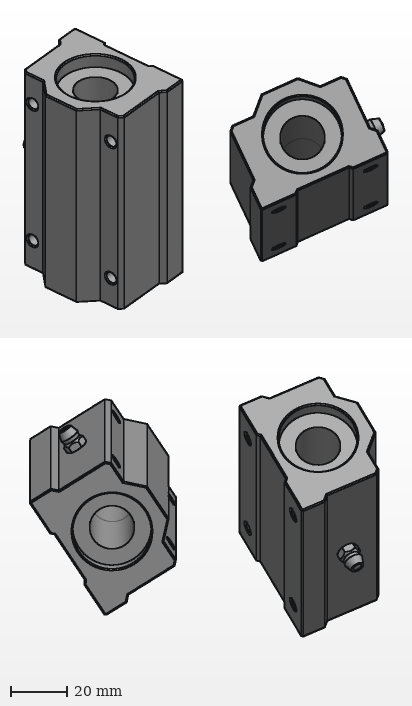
import cadquery as cq
import math

LENGTH = 85.0
HALF_LENGTH = LENGTH / 2
EDGE_CHAMFER = 0.5

FLANGE_HALF_WIDTH = 25.0
BODY_HALF_WIDTH = 22.95
NOSE_HALF_WIDTH = 7.1
RELIEF_HALF_WIDTH = 10.0
BACK_Y = 19.0
HOUSING_DEPTH = 38.5
NOSE_Y = BACK_Y - HOUSING_DEPTH
FLANGE_Y = 9.9
NOSE_RISE = 6.0
RELIEF_DEPTH = 1.1
BODY_CORNER = 1.6
BACK_CORNER = 0.5

BEARING_DIAMETER = 28.0
BEARING_BORE = 16.0
BEARING_RECESS = 5.5
BEARING_LENGTH = LENGTH - 2 * BEARING_RECESS

HOLE_DIAMETER = 4.4
HOLE_CHAMFER = 0.5
HOLE_SPACING_X = 36.0
HOLE_SPACING_Z = 60.0

HEX_SIDES = 6
HEX_ACROSS_FLATS = 7.1
HEX_HEIGHT = 3.5
HEX_TOP_CHAMFER = 1.2
HEX_BASE_CHAMFER = 0.3
COLLAR_PEAK = 5.1
HEAD_FACE = 8.2
NIPPLE_REACH = 8.6
NECK_RADIUS = 3.1
COLLAR_RADIUS = 3.5
HEAD_RADIUS = 2.5
DOME_RADIUS = 1.6


def housing_outline():
    """Closed cross-section: the +X half from nose to back, then its mirror image."""
    step_y = NOSE_Y + NOSE_RISE
    right = [
        (NOSE_HALF_WIDTH, NOSE_Y),
        (NOSE_HALF_WIDTH + NOSE_RISE, step_y),
        (BODY_HALF_WIDTH - BODY_CORNER, step_y),
        (BODY_HALF_WIDTH, step_y + BODY_CORNER),
        (BODY_HALF_WIDTH, FLANGE_Y - (FLANGE_HALF_WIDTH - BODY_HALF_WIDTH)),
        (FLANGE_HALF_WIDTH, FLANGE_Y),
        (FLANGE_HALF_WIDTH, BACK_Y - BACK_CORNER),
        (FLANGE_HALF_WIDTH - BACK_CORNER, BACK_Y),
        (RELIEF_HALF_WIDTH + RELIEF_DEPTH, BACK_Y),
        (RELIEF_HALF_WIDTH, BACK_Y - RELIEF_DEPTH),
    ]
    left = [(-x, y) for x, y in reversed(right)]
    return right + left


def mounting_hole(x, z):
    """Cutter for one through hole with a chamfered mouth at both ends."""
    front_y = NOSE_Y + NOSE_RISE
    radius = HOLE_DIAMETER / 2
    mouth = radius + HOLE_CHAMFER
    profile = [
        (0, front_y),
        (mouth, front_y),
        (radius, front_y + HOLE_CHAMFER),
        (radius, BACK_Y - HOLE_CHAMFER),
        (mouth, BACK_Y),
        (0, BACK_Y),
    ]
    cutter = cq.Workplane("XY").polyline(profile).close().revolve(360, (0, 0), (0, 1))
    return cutter.translate((x, 0, z))


def make_housing():
    """Extruded block with chamfered ends, bearing bore and four mounting holes."""
    block = (
        cq.Workplane("XY")
        .workplane(offset=-HALF_LENGTH)
        .polyline(housing_outline())
        .close()
        .extrude(LENGTH)
        .faces("<Z or >Z")
        .chamfer(EDGE_CHAMFER)
    )
    block = block.cut(cq.Workplane("XY").circle(BEARING_DIAMETER / 2).extrude(HALF_LENGTH, both=True))
    block = block.faces("<Z or >Z").edges("%CIRCLE").chamfer(EDGE_CHAMFER)
    for x in (-HOLE_SPACING_X / 2, HOLE_SPACING_X / 2):
        for z in (-HOLE_SPACING_Z / 2, HOLE_SPACING_Z / 2):
            block = block.cut(mounting_hole(x, z))
    return block


def make_bearing():
    """Plain sleeve that fills the middle of the housing bore."""
    return (
        cq.Workplane("XY")
        .circle(BEARING_DIAMETER / 2)
        .circle(BEARING_BORE / 2)
        .extrude(BEARING_LENGTH / 2, both=True)
    )


def make_nipple_hex():
    """Hexagon with corners along Y, its points turned off conically at both ends."""
    flat_radius = HEX_ACROSS_FLATS / 2
    corner_radius = flat_radius / math.cos(math.pi / HEX_SIDES)
    prism = cq.Workplane("XY").polygon(HEX_SIDES, 2 * corner_radius).extrude(HEX_HEIGHT)
    prism = prism.rotate((0, 0, 0), (0, 0, 1), 90)
    turned = (
        cq.Workplane("XZ")
        .polyline([
            (0, 0),
            (flat_radius, 0),
            (corner_radius, HEX_BASE_CHAMFER),
            (corner_radius, HEX_HEIGHT - HEX_TOP_CHAMFER),
            (NECK_RADIUS, HEX_HEIGHT),
            (0, HEX_HEIGHT),
        ])
        .close()
        .revolve(360, (0, 0), (0, 1))
    )
    return prism.intersect(turned)


def make_nipple_head():
    """Turned head: flared collar, tapered nose and a domed tip."""
    dome_rise = NIPPLE_REACH - HEAD_FACE
    return (
        cq.Workplane("XZ")
        .moveTo(0, HEX_HEIGHT)
        .lineTo(NECK_RADIUS, HEX_HEIGHT)
        .lineTo(COLLAR_RADIUS, COLLAR_PEAK)
        .lineTo(HEAD_RADIUS, HEAD_FACE)
        .lineTo(DOME_RADIUS, HEAD_FACE)
        .radiusArc((0, NIPPLE_REACH), -(DOME_RADIUS**2 + dome_rise**2) / (2 * dome_rise))
        .close()
        .revolve(360, (0, 0), (0, 1))
    )


def make_nipple():
    """Grease nipple seated on the -X side face, pointing along -X."""
    upright = make_nipple_hex().union(make_nipple_head())
    turned = upright.rotate((0, 0, 0), (0, 1, 0), -90)
    return turned.translate((-BODY_HALF_WIDTH, 0, 0))


housing = make_housing()
bearing = make_bearing()
nipple = make_nipple()

result = cq.Compound.makeCompound([body.solids().val() for body in (housing, bearing, nipple)])